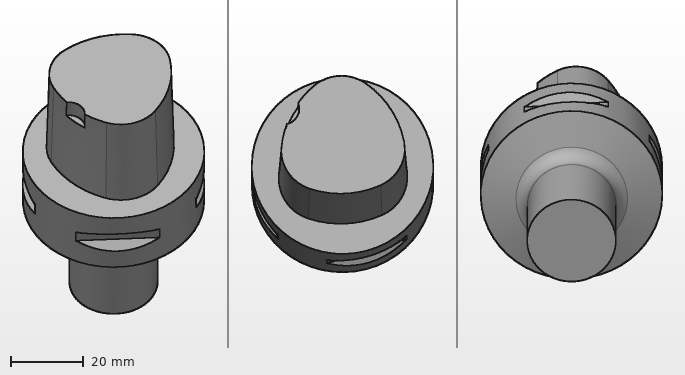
import cadquery as cq
import math

total_height = 83.0
flange_diameter = 50.0
stem_diameter = 24.4
flange_bottom = 33.0
flange_top = 53.0

neck_radius = 5.4
neck_start = 25.6
neck_end = 30.5

lobe_reach = 18.6
side_reach = 16.4
lobe_radius = 12.1
taper_angle = math.degrees(math.atan(1 / 40))

slot_count = 4
slot_start_angle = 45
slot_floor_reach = 22.2
slot_floor_height = 3.3
slot_mouth_height = 7.0

notch_radius = 4.5
notch_back_reach = 13.95
notch_depth = 5.3

flange_radius = flange_diameter / 2
stem_radius = stem_diameter / 2


def make_body():
    """Stem, filleted conical neck and flange as one revolved profile."""
    center_x = stem_radius + neck_radius

    def neck_point(angle):
        x = center_x - neck_radius * math.cos(angle)
        z = neck_start + neck_radius * math.sin(angle)
        return x, z

    sweep = math.asin((neck_end - neck_start) / neck_radius)
    return (
        cq.Workplane("XZ")
        .lineTo(stem_radius, 0)
        .lineTo(stem_radius, neck_start)
        .threePointArc(neck_point(sweep / 2), neck_point(sweep))
        .lineTo(flange_radius, flange_bottom)
        .lineTo(flange_radius, flange_top)
        .lineTo(0, flange_top)
        .close()
        .revolve(360, (0, 0), (0, 1))
    )


def polar(radius, degrees):
    angle = math.radians(degrees)
    return radius * math.cos(angle), radius * math.sin(angle)


def make_shank():
    """Tapered shank whose outline is six tangent arcs, one lobe pointing to +Y."""
    lobe_offset = lobe_reach - lobe_radius
    reach_gap = side_reach - lobe_radius
    side_offset = (lobe_offset**2 - reach_gap**2) / (2 * reach_gap - lobe_offset)

    along = lobe_offset + side_offset * math.cos(math.radians(60))
    across = side_offset * math.sin(math.radians(60))
    stretch = lobe_radius / math.hypot(along, across)
    joint_along = lobe_offset + along * stretch
    joint_across = across * stretch
    joint_reach = math.hypot(joint_along, joint_across)
    joint_angle = math.degrees(math.atan2(joint_across, joint_along))

    outline = cq.Workplane("XY", origin=(0, 0, flange_top)).moveTo(*polar(joint_reach, 90 - joint_angle))
    for lobe_angle in (90, 210, 330):
        next_lobe = lobe_angle + 120
        lobe_end = polar(joint_reach, lobe_angle + joint_angle)
        side_end = polar(joint_reach, next_lobe - joint_angle)
        outline = outline.threePointArc(polar(lobe_reach, lobe_angle), lobe_end)
        outline = outline.threePointArc(polar(side_reach, lobe_angle + 60), side_end)
    return outline.close().extrude(total_height - flange_top, taper=taper_angle)


def make_slot():
    """Straight slot cutter with a flat floor and flaring walls, facing +X."""
    middle = (flange_bottom + flange_top) / 2
    floor = slot_floor_height / 2
    mouth = slot_mouth_height / 2
    return (
        cq.Workplane("XZ")
        .moveTo(slot_floor_reach, middle - floor)
        .lineTo(flange_radius, middle - mouth)
        .lineTo(flange_radius, middle + mouth)
        .lineTo(slot_floor_reach, middle + floor)
        .close()
        .extrude(flange_radius, both=True)
    )


def make_notch():
    """Vertical cylinder that scoops the -Y side of the shank."""
    return (
        cq.Workplane("XY", origin=(0, -notch_back_reach - notch_radius, total_height - notch_depth))
        .circle(notch_radius)
        .extrude(notch_depth)
    )


result = make_body().union(make_shank())
for index in range(slot_count):
    slot_angle = slot_start_angle + index * 360 / slot_count
    result = result.cut(make_slot().rotate((0, 0, 0), (0, 0, 1), slot_angle))
result = result.cut(make_notch())